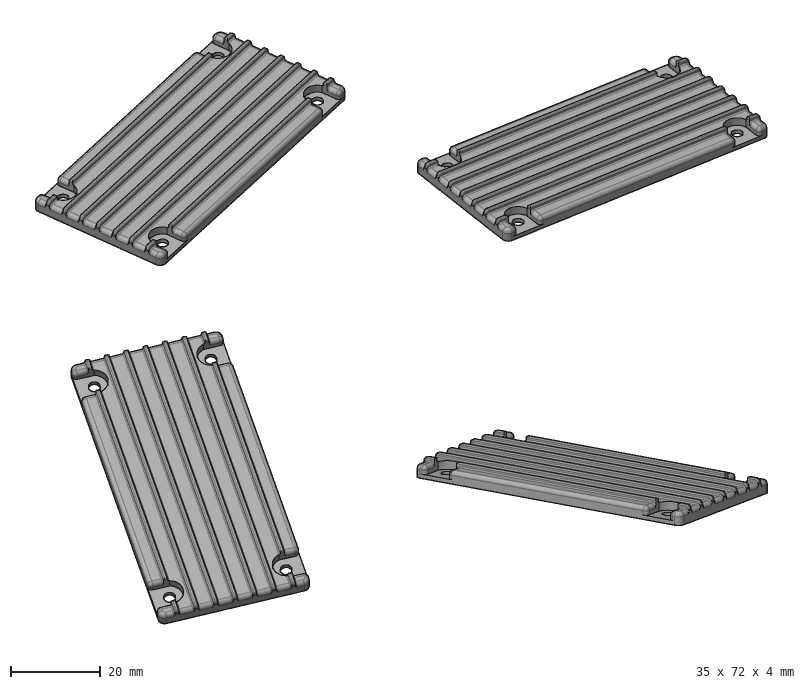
import cadquery as cq
import math

length = 72.0
width = 35.0
plate_height = 3.0
corner_radius = 1.5
edge_radius = 1.0

hole_spacing_x = 27.0
hole_spacing_y = 60.0
hole_diameter = 2.7
pocket_floor = 1.0
pocket_width = 6.0
pocket_radius = 3.1

total_height = 4.0
rib_count = 7
rib_width = 1.0
rib_radius = 0.3

hole_x = hole_spacing_x / 2
arc_start = math.sqrt(pocket_radius**2 - (pocket_width / 2) ** 2)
hole_y = hole_spacing_y / 2
end_y = length / 2
pocket_outer_y = hole_y + pocket_width / 2
pocket_inner_y = hole_y - pocket_width / 2
rib_pitch = hole_spacing_x / (rib_count - 1)
rib_places = [i * rib_pitch - hole_x for i in range(rib_count)]
half_rib = rib_width / 2
edge_start_z = plate_height - edge_radius
diagonal = math.sqrt(0.5)
tolerance = 0.01


def near(a, b):
    return abs(a - b) < tolerance


def make_outline(height):
    """Block with the rounded outline of the plate."""
    return cq.Workplane("XY").rect(width, length).extrude(height).edges("|Z").fillet(corner_radius)


def for_each_pocket(body, make_cutter):
    """Cut the same kind of pocket near all four corners."""
    for side in (-1, 1):
        for end in (-1, 1):
            body = body.cut(make_cutter(side, end))
    return body


def make_side_slot(side, end):
    """Straight part of a pocket, from the side of the plate in to the hole centre."""
    reach = width / 2 - hole_x
    slot = cq.Workplane("XY", origin=(side * (hole_x + reach / 2), end * hole_y, pocket_floor))
    return slot.rect(reach, pocket_width).extrude(total_height)


def make_pocket(side, end):
    """Whole pocket: straight sides with an arched inner end around the screw hole."""
    start_x = side * (hole_x - arc_start)
    crown_x = side * (hole_x - pocket_radius)
    return (
        cq.Workplane("XY", origin=(0, 0, pocket_floor))
        .moveTo(side * width, end * pocket_inner_y)
        .lineTo(start_x, end * pocket_inner_y)
        .threePointArc((crown_x, end * hole_y), (start_x, end * pocket_outer_y))
        .lineTo(side * width, end * pocket_outer_y)
        .close()
        .extrude(total_height)
    )


def is_slot_mouth(edge):
    """Upright edge where a slot wall meets the side of the plate."""
    place = edge.Center()
    on_wall = near(abs(place.y), pocket_outer_y) or near(abs(place.y), pocket_inner_y)
    return near(abs(place.x), width / 2) and on_wall


def is_rim(edge):
    """Top edge of the plate, except across the closed inner end of a slot."""
    place = edge.Center()
    return near(place.z, plate_height) and not near(abs(place.x), hole_x)


def fillet_where(body, test, radius):
    chosen = [edge for edge in body.edges().vals() if test(edge)]
    return body.newObject(chosen).fillet(radius)


def make_plate():
    """Plate with rounded top edges that run into the pockets as far as the outermost ribs."""
    plate = for_each_pocket(make_outline(plate_height), make_side_slot)
    plate = fillet_where(plate, is_slot_mouth, edge_radius)
    plate = fillet_where(plate, is_rim, edge_radius)
    return for_each_pocket(plate, make_pocket)


def make_rib(x):
    """Full-length rib with rounded ends and top edges, standing on the base plane."""
    rib = cq.Workplane("XY", origin=(x, 0, 0)).rect(rib_width, length)
    rib = rib.extrude(total_height).edges("|X and >Z").fillet(edge_radius)
    rib = for_each_pocket(rib, make_pocket)
    return rib.faces(">Z").edges().fillet(rib_radius)


def make_root(x, side, y_start, y_end):
    """Fillet at one flank of a rib, following the plate's top and down its rounded edges."""
    lift = edge_radius * diagonal
    inset = edge_radius - lift
    path = (
        cq.Workplane("YZ", origin=(x, 0, 0))
        .moveTo(y_start, edge_start_z)
        .threePointArc((y_start + inset, edge_start_z + lift), (y_start + edge_radius, plate_height))
        .lineTo(y_end - edge_radius, plate_height)
        .threePointArc((y_end - inset, edge_start_z + lift), (y_end, edge_start_z))
    )
    toe = side * (half_rib + rib_radius)
    mid_rise = rib_radius * (1 - diagonal)
    start = cq.Plane(origin=(x, y_start, edge_start_z), xDir=(1, 0, 0), normal=(0, 0, -1))
    section = (
        cq.Workplane(start)
        .moveTo(0, -rib_radius)
        .lineTo(toe, -rib_radius)
        .lineTo(toe, 0)
        .threePointArc((side * (half_rib + mid_rise), mid_rise), (side * half_rib, rib_radius))
        .lineTo(0, rib_radius)
        .close()
    )
    return section.sweep(path)


def root_runs(x, side):
    """Start and end of each root along one flank; the pockets split the two outermost flanks."""
    if near(x * side, hole_x):
        return [
            (-end_y, -pocket_outer_y),
            (-pocket_inner_y, pocket_inner_y),
            (pocket_outer_y, end_y),
        ]
    return [(-end_y, end_y)]


body = make_plate()
for x in rib_places:
    body = body.union(make_rib(x))

root_space = for_each_pocket(make_outline(total_height), make_pocket)
for x in rib_places:
    for side in (-1, 1):
        for y_start, y_end in root_runs(x, side):
            body = body.union(make_root(x, side, y_start, y_end).intersect(root_space))

holes = (
    cq.Workplane("XY")
    .rect(hole_spacing_x, hole_spacing_y, forConstruction=True)
    .vertices()
    .circle(hole_diameter / 2)
    .extrude(total_height)
)
result = body.cut(holes)